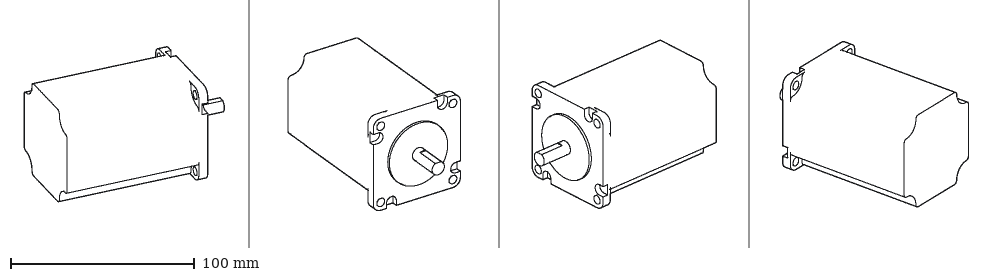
import cadquery as cq
import math


width = 57.0
half_width = width / 2
body_length = 84.0
flange_thickness = 5.4
corner_radius = 5.0

hole_spacing = 47.14
hole_diameter = 5.0

scallop_radius = 8.2
blend_radius = 2.2

boss_diameter = 38.1
boss_height = 1.6
shaft_diameter = 8.0
shaft_length = 21.0
flat_length = 15.0
flat_depth = 0.5

notch_width = 6.4
notch_depth = 3.4
notch_offset = 16.65
notch_height = 6.4


def extrude_along_y(profile, y_start, y_end):
    """Extrude an XZ profile, drawn at the origin, from y_start to y_end."""
    return profile.extrude(y_start - y_end).translate((0, y_start, 0))


def make_block():
    """Square prism with rounded corners over the whole body length."""
    block = extrude_along_y(cq.Workplane("XZ").rect(width, width), -body_length, 0)
    return block.edges("|Y").fillet(corner_radius)


def make_scallop():
    """Cutter for the (+X, +Z) corner: concave arc with a convex blend at each end."""
    arc_center = half_width - blend_radius
    arc_end = arc_center - scallop_radius
    blend_end = arc_end - blend_radius
    arc_middle = arc_center - scallop_radius * math.sqrt(0.5)
    blend_near = arc_end - blend_radius * (1 - math.sqrt(0.5))
    blend_far = arc_center + blend_radius * math.sqrt(0.5)
    profile = (
        cq.Workplane("XZ")
        .moveTo(blend_end, half_width)
        .threePointArc((blend_near, blend_far), (arc_end, arc_center))
        .threePointArc((arc_middle, arc_middle), (arc_center, arc_end))
        .threePointArc((blend_far, blend_near), (half_width, blend_end))
        .lineTo(half_width, half_width)
        .close()
    )
    return extrude_along_y(profile, -body_length, -flange_thickness)


def make_hole():
    """Cutter for the mounting hole in the (+X, +Z) corner of the flange."""
    center = hole_spacing / 2
    profile = cq.Workplane("XZ").center(center, center).circle(hole_diameter / 2)
    return extrude_along_y(profile, -flange_thickness, 0)


def make_notch():
    """Cutter for the notch in the +Z edge, rounded at its inner end."""
    half_notch = notch_width / 2
    bottom = half_width - notch_height
    profile = (
        cq.Workplane("XZ")
        .moveTo(-notch_offset - half_notch, half_width)
        .lineTo(-notch_offset - half_notch, bottom + half_notch)
        .threePointArc((-notch_offset, bottom), (-notch_offset + half_notch, bottom + half_notch))
        .lineTo(-notch_offset + half_notch, half_width)
        .close()
    )
    return extrude_along_y(profile, -notch_depth, 0)


def make_boss():
    """Round pilot boss on the flange front face."""
    return extrude_along_y(cq.Workplane("XZ").circle(boss_diameter / 2), 0, boss_height)


def make_shaft():
    """Output shaft with a flat on its +Z side at the free end."""
    radius = shaft_diameter / 2
    shaft = extrude_along_y(cq.Workplane("XZ").circle(radius), 0, shaft_length)
    flat_cutter = cq.Workplane("XY").box(
        shaft_diameter, flat_length, flat_depth, centered=(True, False, False)
    )
    return shaft.cut(flat_cutter.translate((0, shaft_length - flat_length, radius - flat_depth)))


motor = make_block()
for quarter in range(4):
    for cutter in (make_scallop(), make_hole(), make_notch()):
        motor = motor.cut(cutter.rotate((0, 0, 0), (0, 1, 0), 90 * quarter))

result = motor.union(make_boss()).union(make_shaft())